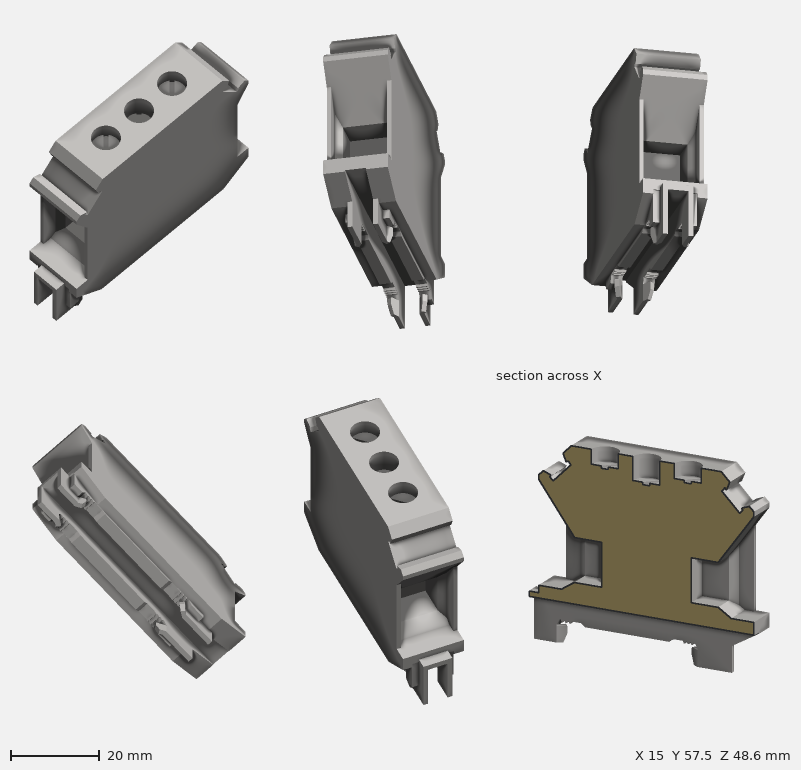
import cadquery as cq
import math


width = 15.0
height = 48.6
body_bottom = 5.8
half_length = 27.45
side_y = 23.95
ledge_top = 13.95
ledge_bottom = 10.45
arm_root_z = 34.35
arm_tip_z = 39.1

pocket_mouth_half = 6.5
pocket_throat_half = 5.1
pocket_throat_y = 18.3
pocket_back_y = 11.5
pocket_taper_y = 20.2
pocket_floor_y = 21.65
pocket_throat_floor = 16.1

screw_diameter = 6.8
screw_pitch = 10.55
outer_hole_depth = 3.55
middle_hole_depth = 5.75
slot_width = 1.15
slot_depth = 0.6

foot_half_width = 5.1
foot_front_y = -27.1
foot_rear_y = 15.9
foot_bottom = 3.7
foot_recess_top = 11.45
rail_center_y = -6.2
rail_mouth_half = 18.25
rail_roof_half = 17.3
rail_roof = 5.65
pad_bottom = 4.8
pad_half = 10.75
pad_root_half = 11.65
first_tooth = 14.6
tooth_pitch = 1.0
tooth_count = 3
tooth_tip_z = 5.05
tooth_root_width = 0.7
tooth_tip_width = 0.3

clip_half_width = 3.55
clip_wall = 1.15
clip_top = 12.2
channel_top = 10.8
clip_front_y = -30.0
clip_rear_y = 20.5
bend_offset = 18.0
hook_reach = 1.5
hook_flare = 1.05
hook_top = 4.1
hook_slope_top = 2.25
hook_slope_run = 0.9
hook_chamfer_drop = 0.35
hook_chamfer_run = 0.2


def extrude_side_outline(points, half_width):
    """Extrude a (Y, Z) outline symmetrically about X = 0."""
    return cq.Workplane("YZ").polyline(points).close().extrude(half_width, both=True)


def box(x_range, y_range, z_range):
    """Box between two limits on each axis."""
    (x0, x1), (y0, y1), (z0, z1) = x_range, y_range, z_range
    return cq.Workplane("XY").box(x1 - x0, y1 - y0, z1 - z0, centered=False).translate((x0, y0, z0))


def make_housing():
    half_outline = [
        (19.15, height),
        (21.3, 46.4),
        (20.45, 44.3),
        (20.0, 44.75),
        (19.3, 43.95),
        (23.8, 39.45),
        (24.6, 40.3),
        (24.15, 40.7),
        (26.25, 41.5),
        (half_length, 40.35),
        (half_length, arm_tip_z),
        (side_y, arm_root_z),
        (side_y, ledge_top),
        (half_length, ledge_top),
        (half_length, ledge_bottom),
        (19.5, body_bottom),
    ]
    mirrored = [(-y, z) for y, z in reversed(half_outline)]
    return extrude_side_outline(half_outline + mirrored, width / 2)


def make_pocket():
    """Wire entry in the +Y end; its roof continues the underside of the marker arm."""
    arm_slope = (arm_tip_z - arm_root_z) / (half_length - side_y)
    roof_throat_z = arm_root_z - arm_slope * (side_y - pocket_throat_y)
    profile = extrude_side_outline(
        [
            (side_y, arm_root_z),
            (pocket_throat_y, roof_throat_z),
            (pocket_back_y, roof_throat_z),
            (pocket_back_y, pocket_throat_floor),
            (pocket_throat_y, pocket_throat_floor),
            (pocket_floor_y, ledge_top),
            (side_y, ledge_top),
        ],
        width / 2,
    )
    plan = (
        cq.Workplane("XY")
        .polyline(
            [
                (-pocket_mouth_half, side_y),
                (-pocket_mouth_half, pocket_taper_y),
                (-pocket_throat_half, pocket_throat_y),
                (-pocket_throat_half, pocket_back_y),
                (pocket_throat_half, pocket_back_y),
                (pocket_throat_half, pocket_throat_y),
                (pocket_mouth_half, pocket_taper_y),
                (pocket_mouth_half, side_y),
            ]
        )
        .close()
        .extrude(height)
    )
    return profile.intersect(plan)


def make_screw_hole(y, depth):
    """Round hole whose floor is a screw head with a diagonal driver slot."""
    floor_z = height - depth
    hole = cq.Workplane("XY", origin=(0, y, floor_z)).circle(screw_diameter / 2).extrude(depth)
    slot_cylinder = (
        cq.Workplane("XY", origin=(0, y, floor_z - slot_depth)).circle(screw_diameter / 2).extrude(slot_depth)
    )
    slot_bar = (
        cq.Workplane("XY", origin=(0, y, floor_z - slot_depth))
        .transformed(rotate=(0, 0, -45))
        .rect(screw_diameter, slot_width)
        .extrude(slot_depth)
    )
    return hole.union(slot_cylinder.intersect(slot_bar))


def make_foot():
    """Narrow base with the toothed rail seat on its underside."""
    rail_side = [
        (pad_half, pad_bottom),
        (pad_root_half, rail_roof),
    ]
    for i in range(tooth_count):
        tooth = first_tooth + i * tooth_pitch
        rail_side += [
            (tooth - tooth_root_width / 2, rail_roof),
            (tooth - tooth_tip_width / 2, tooth_tip_z),
            (tooth + tooth_tip_width / 2, tooth_tip_z),
            (tooth + tooth_root_width / 2, rail_roof),
        ]
    rail_side += [
        (rail_roof_half, rail_roof),
        (rail_mouth_half, foot_bottom),
    ]
    front_side = [(rail_center_y - d, z) for d, z in reversed(rail_side)]
    rear_side = [(rail_center_y + d, z) for d, z in rail_side]
    outline = (
        [(foot_front_y, foot_recess_top), (foot_front_y, foot_bottom)]
        + front_side
        + rear_side
        + [(foot_rear_y, foot_bottom), (foot_rear_y, foot_recess_top)]
    )
    return extrude_side_outline(outline, foot_half_width)


def make_hook():
    """Bent end of one clip wall: bend at Y = 0, reaching toward +Y and flaring toward +X."""
    plate_length = math.hypot(hook_reach, hook_flare)
    inward_x = -clip_wall * hook_reach / plate_length
    inward_y = clip_wall * hook_flare / plate_length
    inner_x = clip_half_width - clip_wall
    plate = (
        cq.Workplane("XY")
        .polyline(
            [
                (inner_x, 0),
                (clip_half_width, 0),
                (clip_half_width + hook_flare, hook_reach),
                (clip_half_width + hook_flare + inward_x, hook_reach + inward_y),
            ]
        )
        .close()
        .extrude(hook_top)
    )
    plate_plane = cq.Plane(
        origin=(clip_half_width, 0, 0), xDir=(hook_flare, hook_reach, 0), normal=(hook_reach, -hook_flare, 0)
    )
    plate_shape = (
        cq.Workplane(plate_plane)
        .polyline(
            [
                (-clip_wall, 0),
                (plate_length - hook_slope_run, 0),
                (plate_length, hook_slope_top),
                (plate_length, hook_top - hook_chamfer_drop),
                (plate_length - hook_chamfer_run, hook_top),
                (-clip_wall, hook_top),
            ]
        )
        .close()
        .extrude(2 * clip_wall, both=True)
    )
    hook = plate.intersect(plate_shape)
    return hook.union(hook.mirror("YZ"))


def make_clips():
    """Outer blocks of both clips with their hooks; the channel cut later leaves the U shape."""
    front_bend_y = rail_center_y - bend_offset
    rear_bend_y = rail_center_y + bend_offset
    x_range = (-clip_half_width, clip_half_width)
    front = box(x_range, (clip_front_y, front_bend_y), (0, clip_top))
    rear = box(x_range, (rear_bend_y, clip_rear_y), (0, clip_top))
    front_hook = make_hook().translate((0, front_bend_y, 0))
    rear_hook = make_hook().mirror("XZ").translate((0, rear_bend_y, 0))
    return front.union(rear).union(front_hook).union(rear_hook)


housing = make_housing()

pocket = make_pocket()
housing = housing.cut(pocket).cut(pocket.mirror("XZ"))

for y, depth in ((-screw_pitch, outer_hole_depth), (0, middle_hole_depth), (screw_pitch, outer_hole_depth)):
    housing = housing.cut(make_screw_hole(y, depth))

foot_recess = box(
    (-foot_half_width, foot_half_width), (-half_length, foot_front_y), (body_bottom, foot_recess_top)
)
housing = housing.cut(foot_recess)

channel_half_width = clip_half_width - clip_wall
channel = box(
    (-channel_half_width, channel_half_width), (clip_front_y, half_length), (0, channel_top)
)

result = housing.union(make_foot()).union(make_clips()).cut(channel)